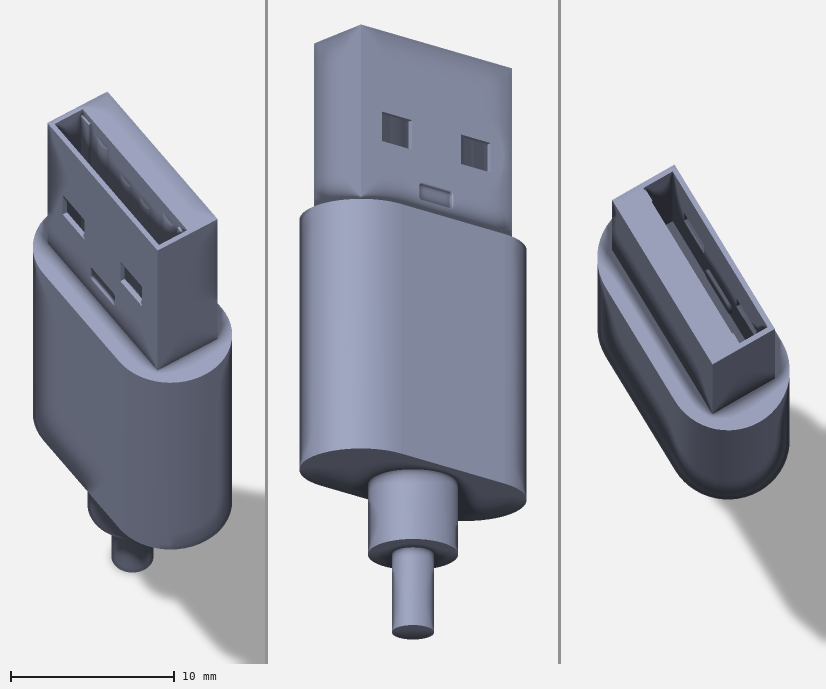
import cadquery as cq

total_height = 37.45
cable_diameter = 2.6
cable_length = 5.05
relief_diameter = 5.5
relief_length = 4.55
housing_width = 15.85
housing_depth = 7.53
housing_height = 16.22

shell_width = 12.05
shell_depth = 4.42
shell_wall = 0.32

window_width = 2.4
window_height = 1.9
window_offset = 3.15
window_drop = 6.2

dimple_width = 2.6
dimple_height = 1.0
dimple_depth = 0.22
dimple_rise = 1.95
dimple_corner = 0.2
dimple_blend = 0.105
dimple_skirt = 0.2

tongue_front = 0.2
rib_width = 0.85
rib_thickness = 0.15
rib_drop = 0.52

contact_width = 1.25
outer_contact_offset = 3.6
inner_contact_offset = 1.05
contact_crown = 0.067
outer_contact_drop = 1.1
contact_setback = 1.0
contact_slope = 0.3

relief_bottom = cable_length
housing_bottom = relief_bottom + relief_length
housing_top = housing_bottom + housing_height
shell_height = total_height - housing_top
cavity_width = shell_width - 2 * shell_wall
cavity_depth = shell_depth - 2 * shell_wall
cavity_back = cavity_depth / 2
shell_front = -shell_depth / 2
inner_contact_drop = outer_contact_drop + contact_setback


def upright_box(width, front, back, bottom, top, x=0):
    """Box centred on x, between two Y faces and two Z levels."""
    return (
        cq.Workplane("XY")
        .box(width, back - front, top - bottom, centered=(True, False, False))
        .translate((x, front, bottom))
    )


def make_cable():
    return cq.Workplane("XY").circle(cable_diameter / 2).extrude(cable_length)


def make_housing():
    """Oblong grip with the round strain relief below it."""
    grip = (
        cq.Workplane("XY", origin=(0, 0, housing_bottom))
        .slot2D(housing_width, housing_depth)
        .extrude(housing_height)
    )
    relief = (
        cq.Workplane("XY", origin=(0, 0, relief_bottom))
        .circle(relief_diameter / 2)
        .extrude(relief_length)
    )
    return grip.union(relief)


def dimple_block(skirt, front):
    """Round-cornered block, one dimple depth deep, with its inner end rounded over."""
    centre_height = housing_top + dimple_rise
    return (
        upright_box(
            dimple_width + 2 * skirt,
            front,
            front + dimple_depth,
            centre_height - dimple_height / 2 - skirt,
            centre_height + dimple_height / 2 + skirt,
        )
        .edges("|Y")
        .fillet(dimple_corner + skirt)
        .faces(">Y")
        .edges()
        .fillet(dimple_blend)
    )


def make_shell():
    """Open metal sleeve with two latch windows and a pressed dimple in its front wall."""
    shell = upright_box(shell_width, shell_front, -shell_front, housing_top, total_height)
    shell = shell.cut(upright_box(cavity_width, -cavity_back, cavity_back, housing_top, total_height))

    window_centre = total_height - window_drop
    for side in (-1, 1):
        window = upright_box(
            window_width,
            shell_front,
            -cavity_back,
            window_centre - window_height / 2,
            window_centre + window_height / 2,
            side * window_offset,
        )
        shell = shell.cut(window)

    shell = shell.union(dimple_block(dimple_skirt, -cavity_back))
    shell = shell.cut(dimple_block(0, shell_front))
    mouth = cq.selectors.BoxSelector(
        (-dimple_width, shell_front - dimple_blend, housing_top + dimple_blend),
        (dimple_width, shell_front + dimple_blend, housing_top + 2 * dimple_rise),
    )
    return shell.edges(mouth).fillet(dimple_blend)


def make_tongue():
    """Insulator block with a thin rib along each side of its contact face."""
    tongue = upright_box(cavity_width, tongue_front, cavity_back, housing_top, total_height)
    for side in (-1, 1):
        rib = upright_box(
            rib_width,
            tongue_front - rib_thickness,
            tongue_front,
            housing_top,
            total_height - rib_drop,
            side * (cavity_width - rib_width) / 2,
        )
        tongue = tongue.union(rib)
    return tongue


def make_contact(x, drop):
    """Strip with a domed front, lying on the contact face of the tongue."""
    contact_height = shell_height - drop
    contact_top = housing_top + contact_height
    strip = (
        cq.Workplane("XY", origin=(x, tongue_front, housing_top))
        .moveTo(-contact_width / 2, 0)
        .threePointArc((0, -contact_crown), (contact_width / 2, 0))
        .close()
        .extrude(contact_height)
    )
    top_wedge = (
        cq.Workplane("YZ", origin=(x - contact_width / 2, 0, 0))
        .moveTo(tongue_front, contact_top)
        .lineTo(tongue_front - contact_crown, contact_top)
        .lineTo(tongue_front - contact_crown, contact_top - contact_slope)
        .close()
        .extrude(contact_width)
    )
    return strip.cut(top_wedge)


cable = make_cable()
housing = make_housing()
shell = make_shell()
tongue = make_tongue()
contacts = [
    make_contact(side * offset, drop)
    for offset, drop in (
        (outer_contact_offset, outer_contact_drop),
        (inner_contact_offset, inner_contact_drop),
    )
    for side in (-1, 1)
]

result = cq.Compound.makeCompound(
    [
        cable.val(),
        housing.val(),
        shell.val(),
        tongue.val(),
        *[contact.val() for contact in contacts],
    ]
)